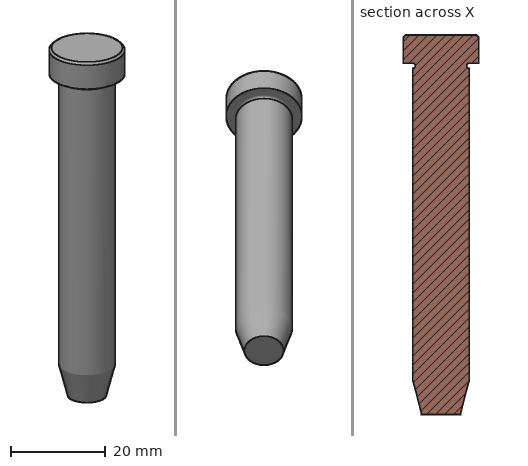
import cadquery as cq

total_length = 80.0
head_diameter = 16.0
head_height = 6.0
head_chamfer = 0.52

shank_diameter = 12.0
groove_width = 1.0
tip_diameter = 8.2
tip_length = 7.2

head_radius = head_diameter / 2
shank_radius = shank_diameter / 2
groove_radius = shank_radius - groove_width / 2
tip_radius = tip_diameter / 2
head_underside = total_length - head_height
groove_bottom = head_underside - groove_width
groove_middle = head_underside - groove_width / 2

profile = (
    cq.Workplane("XZ")
    .moveTo(0, 0)
    .lineTo(tip_radius, 0)
    .lineTo(shank_radius, tip_length)
    .lineTo(shank_radius, groove_bottom)
    .threePointArc((groove_radius, groove_middle), (shank_radius, head_underside))
    .lineTo(head_radius, head_underside)
    .lineTo(head_radius, total_length - head_chamfer)
    .lineTo(head_radius - head_chamfer, total_length)
    .lineTo(0, total_length)
    .close()
)

result = profile.revolve(360, (0, 0, 0), (0, 1, 0))